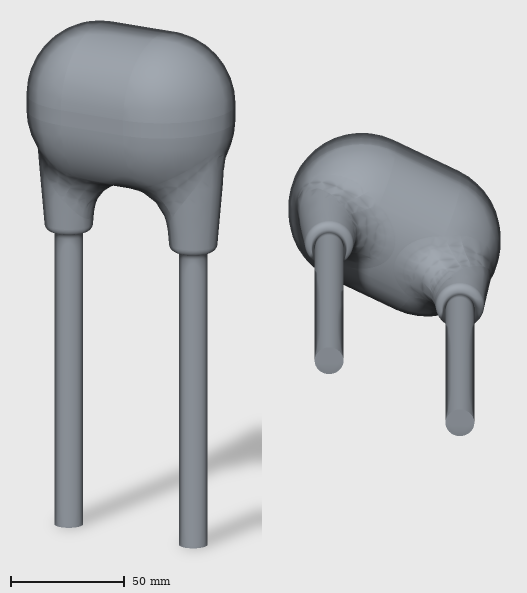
import cadquery as cq
import math

body_radius = 32.3
cap_spacing = 32.3
band_height = 7.0
total_height = 230.5
band_top = total_height - body_radius
band_bottom = band_top - band_height

wire_diameter = 12.7
wire_spacing = 64.5
sleeve_bottom = 133.7
sleeve_bottom_radius = 10.4
sleeve_top = 186.8
sleeve_taper = 5.0
sleeve_end_fillet = 3.5
sleeve_blend_radius = 20.0
wire_positions = [-wire_spacing / 2, wire_spacing / 2]


def make_capsule(z):
    """Round-ended bar along X with its axis at height z."""
    bar = (
        cq.Workplane("YZ", origin=(-cap_spacing / 2, 0, z))
        .circle(body_radius)
        .extrude(cap_spacing)
    )
    for x in (-cap_spacing / 2, cap_spacing / 2):
        bar = bar.union(cq.Workplane("XY", origin=(x, 0, z)).sphere(body_radius))
    return bar


def make_body():
    """Upper and lower capsule halves joined by the straight band."""
    length = cap_spacing + 2 * body_radius
    band = (
        cq.Workplane("XY", origin=(0, 0, band_bottom))
        .slot2D(length, 2 * body_radius)
        .extrude(band_height)
    )
    cutter = cq.Workplane("XY").box(
        length, 2 * body_radius, body_radius, centered=(True, True, False)
    )
    upper = make_capsule(band_top).intersect(cutter.translate((0, 0, band_top)))
    lower = make_capsule(band_bottom).intersect(
        cutter.translate((0, 0, band_bottom - body_radius))
    )
    return band.union(upper).union(lower)


def make_sleeve(x):
    """Cone with a rounded lower rim that widens upwards and ends inside the body."""
    height = sleeve_top - sleeve_bottom
    top_radius = sleeve_bottom_radius + height * math.tan(math.radians(sleeve_taper))
    axis_base = (x, 0, sleeve_bottom)
    cone = cq.Workplane(
        cq.Solid.makeCone(sleeve_bottom_radius, top_radius, height, pnt=cq.Vector(*axis_base))
    )
    cone = cone.rotate(axis_base, (x, 0, sleeve_top), 90)
    return cone.faces("<Z").edges().fillet(sleeve_end_fillet)


def make_coating():
    """Body and both sleeves as one solid, with a smooth blend around each sleeve."""
    coating = make_body()
    for x in wire_positions:
        coating = coating.union(make_sleeve(x))
    joints = [edge for edge in coating.edges().vals() if edge.geomType() == "BSPLINE"]
    return cq.Workplane(coating.val().fillet(sleeve_blend_radius, joints))


def make_wire(x):
    """Straight round wire from z = 0 up to the end face of its sleeve."""
    return cq.Workplane("XY", origin=(x, 0, 0)).circle(wire_diameter / 2).extrude(sleeve_bottom)


coating = make_coating()
wires = [make_wire(x) for x in wire_positions]
result = cq.Compound.makeCompound([coating.val(), *[wire.val() for wire in wires]])